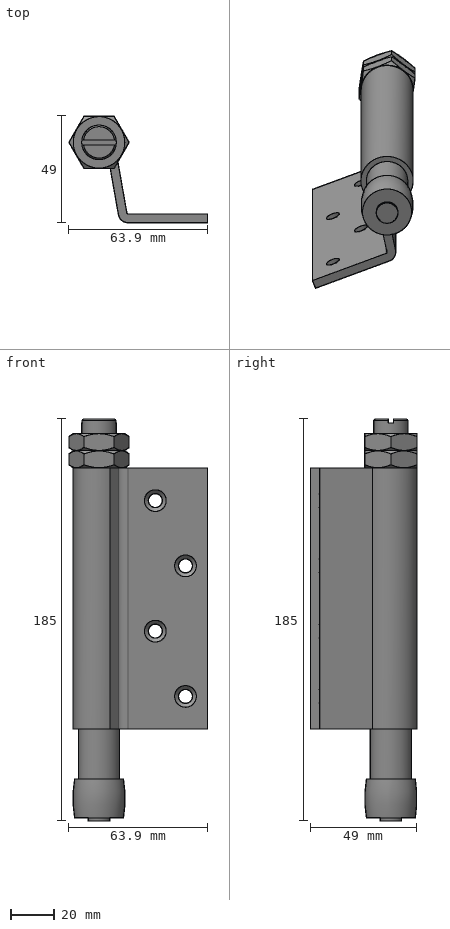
import cadquery as cq
import math


total_height = 185.0
pin_projection = 1.5
cap_height = 18.0
shaft_exposed = 23.0
leaf_height = 120.0
nut_height = 8.0
nut_count = 2

cap_top = pin_projection + cap_height
leaf_bottom = cap_top + shaft_exposed
leaf_top = leaf_bottom + leaf_height

barrel_diameter = 24.0
shaft_diameter = 19.0
screw_diameter = 16.0
shaft_insertion = shaft_exposed
screw_insertion = nut_count * nut_height

plate_thickness = 4.0
bend_inner_radius = 0.5
web_tilt = math.radians(10)
flange_end_x = 50.0
flange_outer_y = -37.0
flange_inner_y = flange_outer_y + plate_thickness
inner_corner_x = 13.0

hole_diameter = 6.3
countersink_diameter = 10.0
countersink_angle = 90
hole_columns_x = (25.9, 39.8)
hole_count = 4
hole_pitch = leaf_height / hole_count

nut_across_flats = barrel_diameter
nut_face_diameter = 23.7
nut_chamfer_height = 1.5

slot_width = 2.2
slot_depth = 1.8
screw_chamfer = 0.7

cap_end_diameter = 22.5
cap_middle_diameter = barrel_diameter
pin_diameter = 10.0


def cylinder(diameter, bottom, top):
    return cq.Workplane("XY").workplane(offset=bottom).circle(diameter / 2).extrude(top - bottom)


def make_plate():
    """Web running down from the barrel axis level, bent into the flange."""
    web_rise = -flange_inner_y
    web_top_x = inner_corner_x - web_rise * math.tan(web_tilt)
    web_width_x = plate_thickness / math.cos(web_tilt)
    outer_corner_x = inner_corner_x - web_width_x + plate_thickness * math.tan(web_tilt)
    profile = [
        (web_top_x, 0),
        (inner_corner_x, flange_inner_y),
        (flange_end_x, flange_inner_y),
        (flange_end_x, flange_outer_y),
        (outer_corner_x, flange_outer_y),
        (web_top_x - web_width_x, 0),
    ]
    plate = cq.Workplane("XY").workplane(offset=leaf_bottom).polyline(profile).close().extrude(leaf_height)
    middle_z = leaf_bottom + leaf_height / 2
    inner_edge = cq.selectors.NearestToPointSelector((inner_corner_x, flange_inner_y, middle_z))
    outer_edge = cq.selectors.NearestToPointSelector((outer_corner_x, flange_outer_y, middle_z))
    plate = plate.edges(outer_edge).fillet(bend_inner_radius + plate_thickness)
    return plate.edges(inner_edge).fillet(bend_inner_radius)


def flange_hole_centres():
    """Staggered (x, z) centres, from the top of the flange down."""
    return [
        (hole_columns_x[i % len(hole_columns_x)], leaf_top - (i + 0.5) * hole_pitch)
        for i in range(hole_count)
    ]


def make_leaf():
    """Barrel and bent plate in one piece, bored for the shaft and the screw."""
    leaf = cylinder(barrel_diameter, leaf_bottom, leaf_top).union(make_plate())
    leaf = leaf.cut(cylinder(shaft_diameter, leaf_bottom, leaf_bottom + shaft_insertion))
    leaf = leaf.cut(cylinder(screw_diameter, leaf_top - screw_insertion, leaf_top))
    return (
        leaf.copyWorkplane(cq.Workplane("XZ", origin=(0, flange_outer_y, 0)))
        .pushPoints(flange_hole_centres())
        .cskHole(hole_diameter, countersink_diameter, countersink_angle, depth=plate_thickness)
    )


def make_nut(bottom):
    """Hexagon nut with its corners turned off conically at both ends."""
    corner_radius = nut_across_flats / math.sqrt(3)
    face_radius = nut_face_diameter / 2
    turned_profile = [
        (0, 0),
        (face_radius, 0),
        (corner_radius, nut_chamfer_height),
        (corner_radius, nut_height - nut_chamfer_height),
        (face_radius, nut_height),
        (0, nut_height),
    ]
    turned = cq.Workplane("XZ").polyline(turned_profile).close().revolve(360, (0, 0), (0, 1))
    hexagon = cq.Workplane("XY").polygon(6, 2 * corner_radius).extrude(nut_height)
    bore = cylinder(screw_diameter, 0, nut_height)
    return hexagon.intersect(turned).cut(bore).translate((0, 0, bottom))


def make_screw():
    """Adjusting screw through the nuts, with a driver slot along X."""
    screw = cylinder(screw_diameter, leaf_top - screw_insertion, total_height)
    screw = screw.faces(">Z").chamfer(screw_chamfer)
    slot_floor = cq.Workplane("XY").workplane(offset=total_height - slot_depth)
    return screw.cut(slot_floor.rect(screw_diameter, slot_width).extrude(slot_depth))


def make_shaft():
    """Shaft standing on the cap and reaching into the barrel."""
    return cylinder(shaft_diameter, cap_top, leaf_bottom + shaft_insertion)


def make_cap():
    """Cap with a bulging side, bored through for the pin."""
    end_radius = cap_end_diameter / 2
    bulge_point = (cap_middle_diameter / 2, pin_projection + cap_height / 2)
    cap = (
        cq.Workplane("XZ")
        .moveTo(0, pin_projection)
        .lineTo(end_radius, pin_projection)
        .threePointArc(bulge_point, (end_radius, cap_top))
        .lineTo(0, cap_top)
        .close()
        .revolve(360, (0, 0), (0, 1))
    )
    return cap.cut(cylinder(pin_diameter, pin_projection, cap_top))


def make_pin():
    """Pin through the cap, projecting below it."""
    return cylinder(pin_diameter, 0, cap_top)


leaf = make_leaf()
nuts = [make_nut(leaf_top + i * nut_height) for i in range(nut_count)]
screw = make_screw()
shaft = make_shaft()
cap = make_cap()
pin = make_pin()

result = cq.Compound.makeCompound(
    [leaf.val(), *[nut.val() for nut in nuts], screw.val(), shaft.val(), cap.val(), pin.val()]
)